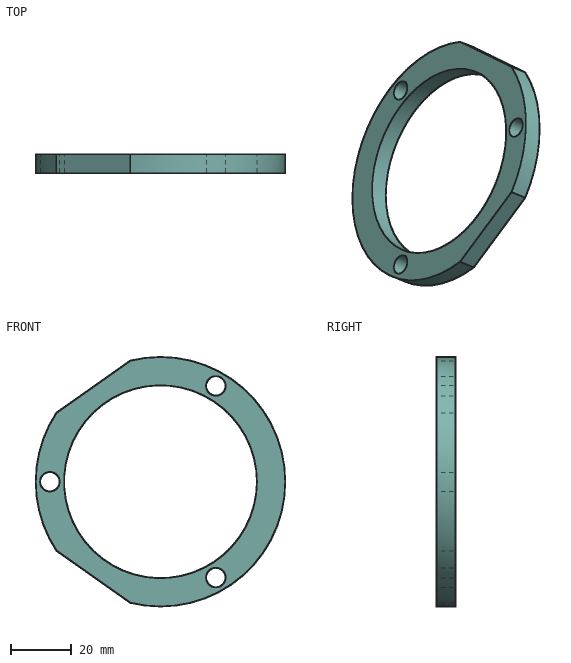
import cadquery as cq

outer_diameter = 82.3
bore_diameter = 63.5
thickness = 6.3

hole_count = 3
hole_diameter = 6.3
hole_circle_radius = 36.5
first_hole_angle = 180.0

flat_distance = 38.4
flat_normal_angle = 125.2


def make_ring():
    return (
        cq.Workplane("XZ")
        .circle(outer_diameter / 2)
        .circle(bore_diameter / 2)
        .extrude(thickness)
    )


def drill_holes(ring):
    holes = (
        cq.Workplane("XZ")
        .polarArray(hole_circle_radius, first_hole_angle, 360, hole_count)
        .circle(hole_diameter / 2)
        .extrude(thickness)
    )
    return ring.cut(holes)


def cut_flat(ring, normal_angle):
    block = (
        cq.Workplane("XY")
        .box(outer_diameter, 2 * thickness, outer_diameter, centered=(False, True, True))
        .translate((flat_distance, 0, 0))
        .rotate((0, 0, 0), (0, 1, 0), -normal_angle)
    )
    return ring.cut(block)


result = drill_holes(make_ring())
for side in (1, -1):
    result = cut_flat(result, side * flat_normal_angle)